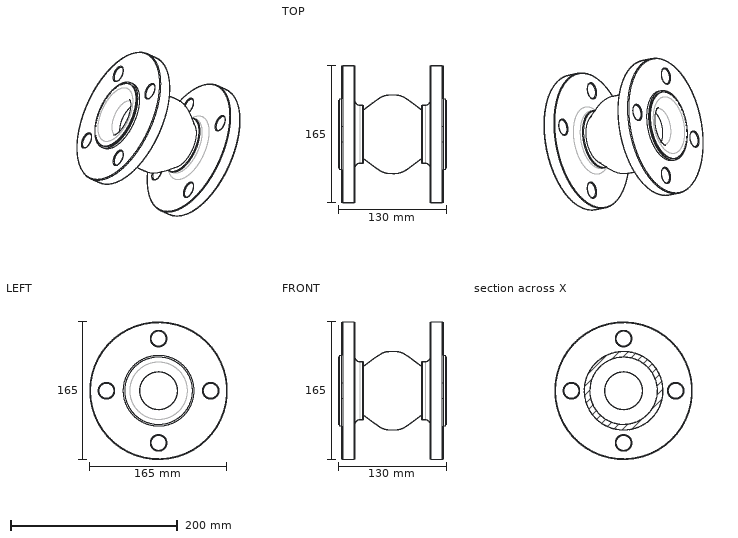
import cadquery as cq
import math

overall_length = 130.0
half_length = overall_length / 2

flange_radius = 82.5
flange_thickness = 15.7
flange_front_chamfer_length = 1.3
flange_back_chamfer_length = 0.8
flange_chamfer_height = 0.8
bolt_circle_radius = 62.5
bolt_hole_diameter = 18.0
bolt_hole_chamfer = 1.0
bolt_count = 4

raised_face_radius = 85.0 / 2
raised_face_height = 4.1
raised_step_length = 1.3
raised_step_radius = 81.0 / 2

hub_radius = 70.0 / 2
hub_end_depth = 30.4
hub_fillet = 6.0
hub_chamfer_length = 1.3
hub_chamfer_height = 0.5

bore_radius = 45.0 / 2
bore_mouth_radius = 69.0 / 2
bore_rounding = bore_mouth_radius - bore_radius
socket_radius = 59.0 / 2
socket_depth = 23.6

crown_radius = 47.4
shoulder_x = 8.2
shoulder_radius = 46.7
flank_x = 19.0
flank_radius = 41.2
neck_slope = 0.7
wall_thickness = socket_radius - bore_radius
cavity_radius = crown_radius - wall_thickness

plate_front_x = raised_face_height
plate_back_x = plate_front_x + flange_thickness
quarter_arc = math.sqrt(0.5)


def flange_profile():
    """Half section as (distance from the sealing face, radius)."""
    fillet_radius = hub_radius + hub_fillet
    fillet_x = plate_back_x + hub_fillet
    mouth_mid = bore_rounding * quarter_arc
    fillet_mid = hub_fillet * quarter_arc
    return (
        cq.Workplane("XY")
        .moveTo(0, bore_mouth_radius)
        .lineTo(0, raised_step_radius)
        .lineTo(raised_step_length, raised_step_radius)
        .lineTo(raised_step_length, raised_face_radius)
        .lineTo(plate_front_x, raised_face_radius)
        .lineTo(plate_front_x, flange_radius - flange_chamfer_height)
        .lineTo(plate_front_x + flange_front_chamfer_length, flange_radius)
        .lineTo(plate_back_x - flange_back_chamfer_length, flange_radius)
        .lineTo(plate_back_x, flange_radius - flange_chamfer_height)
        .lineTo(plate_back_x, fillet_radius)
        .threePointArc((fillet_x - fillet_mid, fillet_radius - fillet_mid), (fillet_x, hub_radius))
        .lineTo(hub_end_depth - hub_chamfer_length, hub_radius)
        .lineTo(hub_end_depth, hub_radius - hub_chamfer_height)
        .lineTo(hub_end_depth, socket_radius)
        .lineTo(socket_depth, socket_radius)
        .lineTo(socket_depth, bore_radius)
        .lineTo(bore_rounding, bore_radius)
        .threePointArc((bore_rounding - mouth_mid, bore_mouth_radius - mouth_mid), (0, bore_mouth_radius))
        .close()
    )


def bolt_hole_cutter():
    """Bolt hole through the plate, chamfered at both of its faces."""
    hole_radius = bolt_hole_diameter / 2
    mouth_radius = hole_radius + bolt_hole_chamfer
    return (
        cq.Workplane("XY")
        .moveTo(plate_front_x, 0)
        .lineTo(plate_front_x, mouth_radius)
        .lineTo(plate_front_x + bolt_hole_chamfer, hole_radius)
        .lineTo(plate_back_x - bolt_hole_chamfer, hole_radius)
        .lineTo(plate_back_x, mouth_radius)
        .lineTo(plate_back_x, 0)
        .close()
        .revolve(360, (0, 0, 0), (1, 0, 0))
        .translate((0, bolt_circle_radius, 0))
    )


def make_flange():
    """Flange whose sealing face lies at the -X end of the assembly."""
    flange = flange_profile().revolve(360, (0, 0, 0), (1, 0, 0))
    for index in range(bolt_count):
        angle = index * 360 / bolt_count
        flange = flange.cut(bolt_hole_cutter().rotate((0, 0, 0), (1, 0, 0), angle))
    return flange.translate((-half_length, 0, 0))


def make_bellows():
    """Hollow bulged tube with plain ends seated in the flange sockets."""
    end_x = half_length - socket_depth
    neck_x = half_length - hub_end_depth
    bulge = [
        (-flank_x, flank_radius),
        (-shoulder_x, shoulder_radius),
        (0, crown_radius),
        (shoulder_x, shoulder_radius),
        (flank_x, flank_radius),
        (neck_x, socket_radius),
    ]
    neck_tangents = [(1, neck_slope), (1, -neck_slope)]
    outside = (
        cq.Workplane("XY")
        .moveTo(-end_x, 0)
        .lineTo(-end_x, socket_radius)
        .lineTo(-neck_x, socket_radius)
        .spline(bulge, tangents=neck_tangents, includeCurrent=True)
        .lineTo(end_x, socket_radius)
        .lineTo(end_x, 0)
        .close()
        .revolve(360, (0, 0, 0), (1, 0, 0))
    )

    level = [(1, 0), (1, 0), (1, 0)]
    cavity = (
        cq.Workplane("XY")
        .moveTo(-end_x, 0)
        .lineTo(-end_x, bore_radius)
        .spline([(0, cavity_radius), (end_x, bore_radius)], tangents=level, includeCurrent=True)
        .lineTo(end_x, 0)
        .close()
        .revolve(360, (0, 0, 0), (1, 0, 0))
    )
    return outside.cut(cavity)


inlet_flange = make_flange()
flanges = [inlet_flange, inlet_flange.mirror("YZ")]
bellows = make_bellows()

bodies = [bellows, *flanges]
result = cq.Compound.makeCompound([body.val().Solids()[0] for body in bodies])